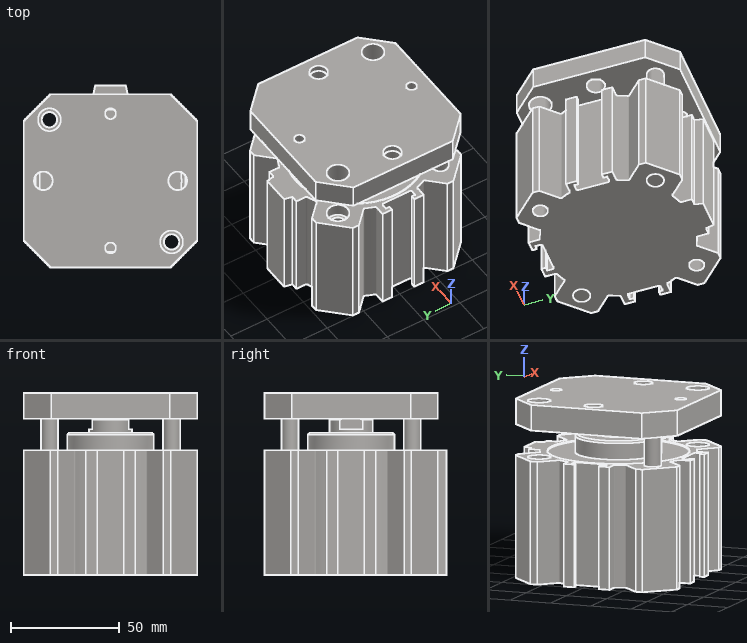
import cadquery as cq
import math

width = 80.0
half_width = width / 2
total_height = 84.0
total_depth = 84.0
housing_height = 57.5
plate_thickness = 12.0
plate_bottom = total_height - plate_thickness

housing_flat = 27.7
plate_flat = 27.4

post_edge = 24.4
rib_outer = 11.3
groove_floor_radius = 36.2
groove_fillet = 0.75

slot_opening = 12.3
slot_inner_width = 16.1
slot_lip = 2.2
slot_fillet = 0.8
slot_floor = 34.4

boss_base_width = 15.9
boss_tip_width = 14.1

cover_recess_diameter = 65.5
cover_recess_depth = 0.5
collar_diameter = 40.0
collar_top = 65.7
collar_chamfer = 1.0

rod_diameter = 20.0
rod_flats_width = 17.0
rod_flats_bottom = 67.2
rod_end_chamfer = 0.5
guide_diameter = 8.0

corner_offset = 28.1
mount_head_diameter = 10.5
mount_bolt_diameter = 7.0
mount_head_depth = 6.5
side_offset = 30.9
thread_diameter = 8.5
thread_mouth_diameter = 8.6
thread_mouth_depth = 3.4
dowel_diameter = 4.95

guide_points = [(-corner_offset, -corner_offset), (corner_offset, corner_offset)]
mount_points = [(-corner_offset, corner_offset), (corner_offset, -corner_offset)]
thread_points = [(-side_offset, 0), (side_offset, 0)]
dowel_points = [(0, -side_offset), (0, side_offset)]


def cylinders(points, diameter, bottom, top):
    """Upright cylinders at the given points, between two heights."""
    base = cq.Workplane("XY").workplane(offset=bottom)
    return base.pushPoints(points).circle(diameter / 2).extrude(top - bottom)


def bevelled_square(flat, bottom, top):
    """Square block whose corners are cut off at 45 degrees."""
    block = cq.Workplane("XY").workplane(offset=bottom).rect(width, width).extrude(top - bottom)
    return block.edges("|Z").chamfer(half_width - flat)


def groove_cutter():
    """Groove in the -Y side, between the left corner post and the left rib."""
    across = (half_width - post_edge) / math.sqrt(2)
    along = math.sqrt(groove_floor_radius**2 - across**2)
    wall_foot = ((across - along) / math.sqrt(2), -(across + along) / math.sqrt(2))
    rib_foot = (-rib_outer, -math.sqrt(groove_floor_radius**2 - rib_outer**2))
    mid_angle = (math.atan2(wall_foot[1], wall_foot[0]) + math.atan2(rib_foot[1], rib_foot[0])) / 2
    floor_middle = (groove_floor_radius * math.cos(mid_angle), groove_floor_radius * math.sin(mid_angle))
    return (
        cq.Workplane("XY")
        .moveTo(-post_edge, -half_width)
        .lineTo(*wall_foot)
        .threePointArc(floor_middle, rib_foot)
        .lineTo(-rib_outer, -half_width)
        .close()
        .extrude(housing_height)
        .edges("|Z")
        .edges("not <Y")
        .fillet(groove_fillet)
    )


def slot_cutter():
    """T-slot in the -Y side."""
    slot_depth = half_width - slot_floor
    inner_depth = slot_depth - slot_lip
    opening = cq.Workplane("XY").center(0, -slot_floor - slot_depth / 2)
    opening = opening.rect(slot_opening, slot_depth).extrude(housing_height)
    inner = cq.Workplane("XY").center(0, -slot_floor - inner_depth / 2)
    inner = inner.rect(slot_inner_width, inner_depth).extrude(housing_height)
    inner = inner.edges("|Z and >Y").fillet(slot_fillet)
    return opening.union(inner)


def port_boss():
    return (
        cq.Workplane("XY")
        .moveTo(-boss_base_width / 2, half_width)
        .lineTo(boss_base_width / 2, half_width)
        .lineTo(boss_tip_width / 2, total_depth - half_width)
        .lineTo(-boss_tip_width / 2, total_depth - half_width)
        .close()
        .extrude(housing_height)
    )


def make_housing():
    body = bevelled_square(housing_flat, 0, housing_height)

    groove = groove_cutter()
    slot = slot_cutter()
    for turn in (0, 90, 180, 270):
        for cutter in (groove, groove.mirror("YZ")):
            body = body.cut(cutter.rotate((0, 0, 0), (0, 0, 1), turn))
        if turn != 180:
            body = body.cut(slot.rotate((0, 0, 0), (0, 0, 1), turn))
    body = body.union(port_boss())

    recess_floor = housing_height - cover_recess_depth
    body = body.cut(cylinders([(0, 0)], cover_recess_diameter, recess_floor, housing_height))
    collar = cylinders([(0, 0)], collar_diameter, recess_floor, collar_top)
    body = body.union(collar.faces(">Z").chamfer(collar_chamfer))

    head_floor = housing_height - mount_head_depth
    body = body.cut(cylinders(mount_points, mount_bolt_diameter, 0, housing_height))
    body = body.cut(cylinders(mount_points, mount_head_diameter, head_floor, housing_height))
    body = body.cut(cylinders(guide_points, guide_diameter, 0, housing_height))
    return body.cut(cylinders([(0, 0)], rod_diameter, recess_floor, collar_top))


def piston_rod():
    """Central rod with a chamfered end and two wrench flats facing -X and +X."""
    rod_bottom = housing_height - cover_recess_depth
    rod = cylinders([(0, 0)], rod_diameter, rod_bottom, plate_bottom)
    rod = rod.faces(">Z").chamfer(rod_end_chamfer)
    below_flats = cylinders([(0, 0)], rod_diameter, rod_bottom, rod_flats_bottom)
    between_flats = cq.Workplane("XY").workplane(offset=rod_bottom)
    between_flats = between_flats.rect(rod_flats_width, rod_diameter).extrude(plate_bottom - rod_bottom)
    return rod.intersect(between_flats).union(below_flats)


def make_carriage():
    """Moving plate with its guide rods and the piston rod."""
    plate = bevelled_square(plate_flat, plate_bottom, total_height)
    mouth_floor = total_height - thread_mouth_depth
    plate = plate.cut(cylinders(mount_points, mount_head_diameter, plate_bottom, total_height))
    plate = plate.cut(cylinders(dowel_points, dowel_diameter, plate_bottom, total_height))
    plate = plate.cut(cylinders(thread_points, thread_diameter, plate_bottom, total_height))
    plate = plate.cut(cylinders(thread_points, thread_mouth_diameter, mouth_floor, total_height))
    plate = plate.union(cylinders(guide_points, guide_diameter, 0, plate_bottom))
    return plate.union(piston_rod())


housing = make_housing()
carriage = make_carriage()
result = cq.Compound.makeCompound([housing.val(), carriage.val()])